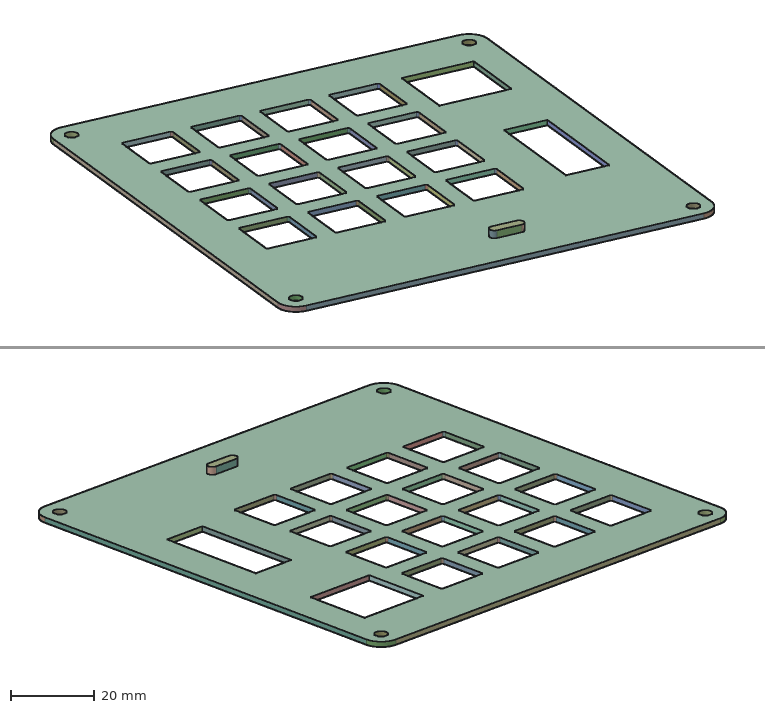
import cadquery as cq

plate_side = 120.0
plate_thickness = 1.5
total_height = 3.5
corner_radius = 5.0

mount_hole_diameter = 3.4
mount_hole_spacing = plate_side - 2 * corner_radius

key_count = 4
key_side = 13.9
key_pitch = 19.1
key_corner_radius = 0.5
key_grid_x = -9.2
key_grid_y = -11.3

large_width = 18.5
large_height = 19.9
large_x = key_grid_x - (key_pitch * (key_count - 1) + key_side - large_width) / 2
large_y = 40.5

wide_width = 30.4
wide_height = 12.0
wide_x = 9.0
wide_y = 43.1

bar_length = 9.5
bar_width = 2.6
bar_x = 46.8
bar_y = 7.9
bar_height = total_height - plate_thickness


def rectangular_cutter(width, height, x, y):
    """Block as thick as the plate, used to cut a rectangular opening."""
    return cq.Workplane("XY").center(x, y).rect(width, height).extrude(plate_thickness)


def make_plate():
    """Square plate with rounded corners and a mounting hole in each corner."""
    plate = cq.Workplane("XY").rect(plate_side, plate_side).extrude(plate_thickness)
    plate = plate.edges("|Z").fillet(corner_radius)
    return (
        plate.faces(">Z").workplane()
        .rect(mount_hole_spacing, mount_hole_spacing, forConstruction=True)
        .vertices()
        .hole(mount_hole_diameter)
    )


def key_cutters():
    """Grid of square blocks with slightly rounded corners."""
    return (
        cq.Workplane("XY")
        .center(key_grid_x, key_grid_y)
        .rarray(key_pitch, key_pitch, key_count, key_count)
        .rect(key_side, key_side)
        .extrude(plate_thickness)
        .edges("|Z")
        .fillet(key_corner_radius)
    )


def make_bar():
    """Raised bar standing on the top face of the plate."""
    return (
        cq.Workplane("XY")
        .workplane(offset=plate_thickness)
        .center(bar_x, bar_y)
        .slot2D(bar_length, bar_width, angle=90)
        .extrude(bar_height)
    )


result = (
    make_plate()
    .cut(key_cutters())
    .cut(rectangular_cutter(large_width, large_height, large_x, large_y))
    .cut(rectangular_cutter(wide_width, wide_height, wide_x, wide_y))
    .union(make_bar())
)